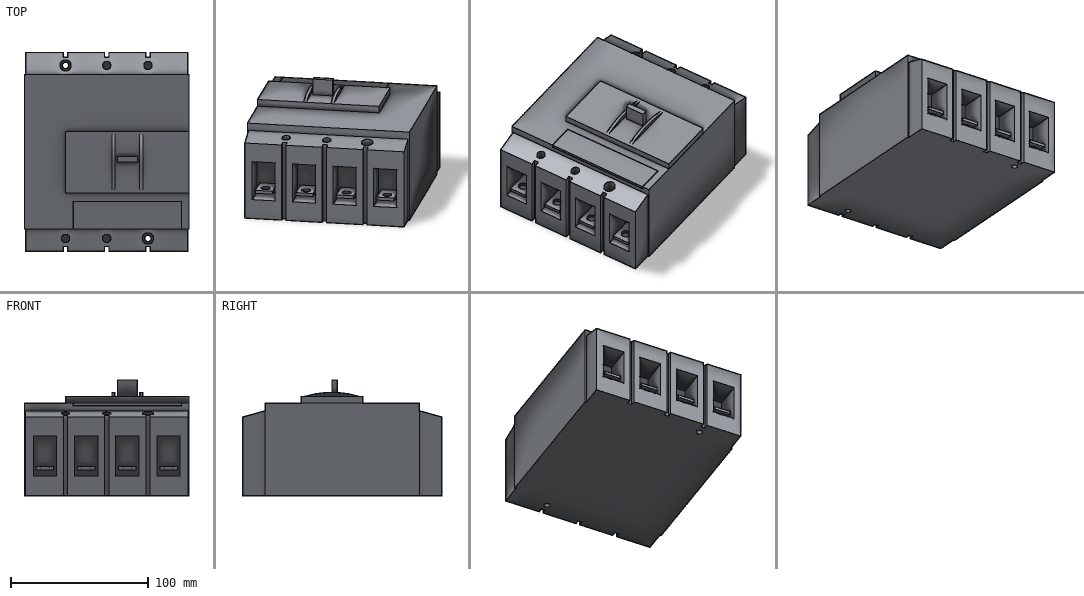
import cadquery as cq

overall_length = 145.0
overall_height = 84.52

middle_width = 120.0
middle_length = 112.5
middle_height = 67.52
end_width = 118.0
shoulder_height = 62.0
lip_height = 57.5

pole_count = 4
pole_pitch = 30.0
pole_centres = [(i - (pole_count - 1) / 2) * pole_pitch for i in range(pole_count)]
gap_centres = [(i - (pole_count - 2) / 2) * pole_pitch for i in range(pole_count - 1)]

groove_width = 3.1
groove_depth = 3.5

pocket_width = 17.0
pocket_bottom = 14.5
pocket_top = 43.5
pocket_depth = 20.0
tongue_width = 12.75
tongue_bottom = 19.0
tongue_thickness = 2.25
tongue_setback = 1.5
tongue_hole_diameter = 6.5
tongue_hole_setback = 7.0

screw_row_y = 63.0
blind_hole_diameter = 6.0
blind_hole_bottom = 45.0
mount_hole_diameter = 4.5
mount_recess_diameter = 8.2

label_recess_left = -24.6
label_recess_length = 79.2
label_recess_back = -36.0
label_recess_depth = 2.0
label_clearance = 0.3

cover_length = 90.0
cover_width = 45.0
cover_back = 15.0
cover_thickness = 5.0
cover_left = middle_width / 2 - cover_length
cover_top = middle_height + cover_thickness
rib_length = 39.5
rib_height = 3.0
rib_thickness = 2.25
rib_spacing = 20.25

toggle_width = 14.6
toggle_thickness = 4.0
toggle_back = -3.5

lever_centre_x = cover_left + cover_length / 2
cover_centre_y = cover_back - cover_width / 2
middle_front = -middle_length / 2
end_face = overall_length / 2


def box(x_min, y_min, z_min, x_size, y_size, z_size):
    """Box placed by its lowest corner."""
    return cq.Workplane("XY").box(x_size, y_size, z_size, centered=False).translate((x_min, y_min, z_min))


def post(x, y, z_min, z_max, diameter):
    """Upright cylinder between two heights."""
    return cq.Workplane("XY", origin=(x, y, z_min)).circle(diameter / 2).extrude(z_max - z_min)


def make_terminal_blocks():
    """Long block whose top slopes down towards both ends."""
    profile = [
        (-end_face, 0),
        (end_face, 0),
        (end_face, lip_height),
        (middle_length / 2, shoulder_height),
        (-middle_length / 2, shoulder_height),
        (-end_face, lip_height),
    ]
    return cq.Workplane("YZ").polyline(profile).close().extrude(end_width / 2, both=True)


def make_front_grooves():
    """Full-height grooves between the poles on the front face."""
    grooves = cq.Workplane("XY")
    for x in gap_centres:
        groove = box(x - groove_width / 2, -end_face, 0, groove_width, groove_depth, shoulder_height)
        grooves = grooves.union(groove)
    return grooves


def make_tongue(x):
    """Terminal tongue with a screw hole, standing out from the back of its pocket."""
    front = -end_face + tongue_setback
    length = pocket_depth - tongue_setback
    tongue = box(x - tongue_width / 2, front, tongue_bottom, tongue_width, length, tongue_thickness)
    tongue_top = tongue_bottom + tongue_thickness
    hole = post(x, front + tongue_hole_setback, tongue_bottom, tongue_top, tongue_hole_diameter)
    return tongue.cut(hole)


def make_front_pockets():
    """Terminal pockets of the front face, each leaving its tongue standing."""
    pockets = cq.Workplane("XY")
    for x in pole_centres:
        pocket = box(
            x - pocket_width / 2, -end_face, pocket_bottom, pocket_width, pocket_depth, pocket_top - pocket_bottom
        )
        pockets = pockets.union(pocket.cut(make_tongue(x)))
    return pockets


def make_front_holes():
    """Two blind holes and, at the right-hand groove, a recessed through mounting hole."""
    mount_x = gap_centres[-1]
    holes = post(mount_x, -screw_row_y, 0, shoulder_height, mount_hole_diameter)
    holes = holes.union(post(mount_x, -screw_row_y, blind_hole_bottom, shoulder_height, mount_recess_diameter))
    for x in gap_centres[:-1]:
        holes = holes.union(post(x, -screw_row_y, blind_hole_bottom, shoulder_height, blind_hole_diameter))
    return holes


def make_housing():
    """Housing whose back end repeats the front end turned half a turn about Z."""
    middle = box(-middle_width / 2, middle_front, 0, middle_width, middle_length, middle_height)
    housing = make_terminal_blocks().union(middle)
    for angle in (0, 180):
        for cutter in (make_front_grooves(), make_front_pockets(), make_front_holes()):
            housing = housing.cut(cutter.rotate((0, 0, 0), (0, 0, 1), angle))
    label_recess = box(
        label_recess_left,
        middle_front,
        middle_height - label_recess_depth,
        label_recess_length,
        label_recess_back - middle_front,
        label_recess_depth,
    )
    return housing.cut(label_recess)


def make_label():
    """Label plate flush with the middle block, clear of the recess side walls, back wall and floor."""
    return box(
        label_recess_left + label_clearance,
        middle_front,
        middle_height - label_recess_depth + label_clearance,
        label_recess_length - 2 * label_clearance,
        label_recess_back - middle_front - label_clearance,
        label_recess_depth - label_clearance,
    )


def make_rib(x):
    """Rib with an arched top, standing on the cover."""
    return (
        cq.Workplane("YZ", origin=(x, cover_centre_y, cover_top))
        .moveTo(-rib_length / 2, 0)
        .threePointArc((0, rib_height), (rib_length / 2, 0))
        .close()
        .extrude(rib_thickness / 2, both=True)
    )


def make_cover():
    """Cover plate carrying one rib on each side of the toggle."""
    cover = box(cover_left, cover_back - cover_width, middle_height, cover_length, cover_width, cover_thickness)
    for side in (-1, 1):
        cover = cover.union(make_rib(lever_centre_x + side * rib_spacing / 2))
    return cover


def make_toggle():
    """Upright toggle lever standing on the cover."""
    return box(
        lever_centre_x - toggle_width / 2,
        toggle_back - toggle_thickness,
        cover_top,
        toggle_width,
        toggle_thickness,
        overall_height - cover_top,
    )


housing = make_housing()
label = make_label()
cover = make_cover()
toggle = make_toggle()

result = cq.Compound.makeCompound([housing.val(), label.val(), cover.val(), toggle.val()])